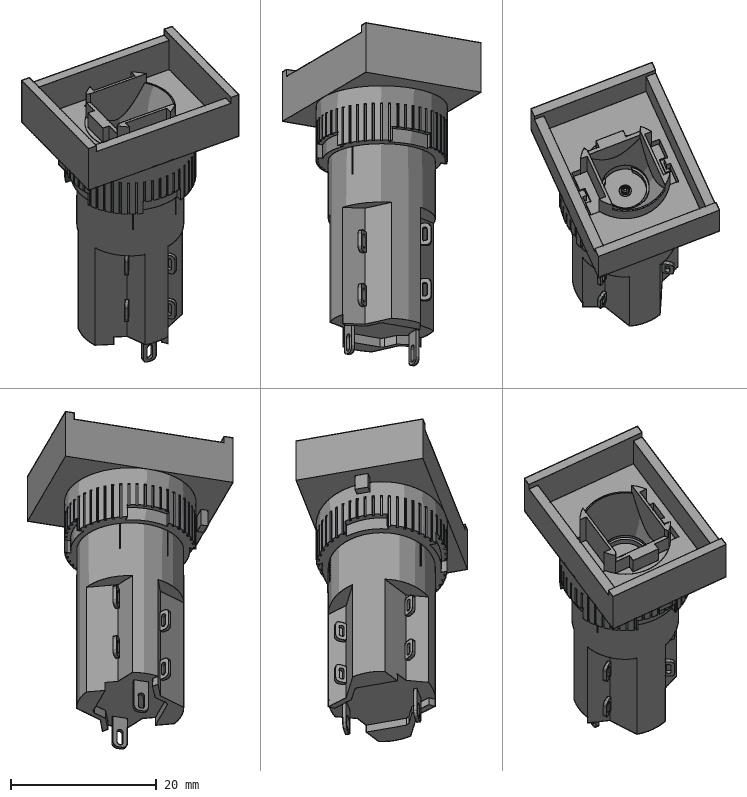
import cadquery as cq
import math

TOP_Z = 43.75
WALL_TOP_Z = 42.72
FLOOR_Z = 37.7
BEZEL_BOTTOM_Z = 36.55
GROOVE_TOP_Z = 34.05
NOTCH_TOP_Z = 30.7
RING_BOTTOM_Z = 28.75
SLIT_BOTTOM_Z = 24.8
BLOCK_TOP_Z = 20.3
POCKET_TOP_Z = 4.75
BLOCK_BOTTOM_Z = 3.5

BEZEL_X = 18.0
BEZEL_Y = 24.0
LONG_WALL = 1.4
END_WALL = 1.25
KEY_X = 1.85
KEY_Y = 1.0
KEY_CENTER_Y = -10.35

RING_DIA = 18.0
BARREL_DIA = 14.7
RECESS_DIA = 16.35
NOTCH_WIDTH = 5.95
GROOVE_COUNT = 50
GROOVE_WIDTH = 0.285
GROOVE_DEPTH = 0.3
SLIT_Y = 3.4
SLIT_WIDTH = 0.05
SLIT_DEPTH = 0.17

VALLEY = (4.25, 3.0)
FRONT_LOBE_HALF = 2.27
SIDE_LOBE_HALF = 1.85
CHANNEL_HALF = 1.25
POCKET_REACH_Y = 4.65
POCKET_CORNER = (3.65, 2.45)
POCKET_SHOULDER_X = 6.35
POCKET_MOUTH_X = 7.1
POCKET_WALL_END = (2.75, 4.3)
POCKET_END_X = 2.27

TERMINAL_THICKNESS = 0.5
BLADE_WIDTH = 2.1
BLADE_X = 5.05
BLADE_CORNER = 0.8
BLADE_SLOT_WIDTH = 0.87
BLADE_SLOT_BOTTOM_Z = 0.4
BLADE_SLOT_TOP_Z = 2.8
TAB_LENGTH = 1.7
TAB_HEIGHT = 3.1
TAB_CORNER = 0.6
TAB_ROOT = 0.1
TAB_ANGLE = 34.5
TAB_SLOT_WIDTH = 0.65
TAB_SLOT_HEIGHT = 1.95
RISING_TAB_Z = (17.85, 9.85)
FALLING_TAB_Z = (15.25, 7.48)

INSERT_DIA = 12.45
INSERT_BOTTOM_Z = RING_BOTTOM_Z
RIM_Z = 40.2
POST_TOP_Z = 41.67
POST_INNER_X = 3.9
POST_END_X = 4.15
POST_OUTER_X = 4.3
LATCH_REACH_X = 6.4
LATCH_HALF_Y = 3.3
LATCH_GAP = 0.15
LATCH_SLOT_X = 5.55
LATCH_SLOT_HALF_Y = 1.05
NUB_X = 5.95
NUB_HALF_Y = 0.5
LATCH_TOP_Z = BEZEL_BOTTOM_Z
LATCH_STEP_Z = 36.1
LATCH_BOTTOM_Z = 35.7
FRONT_WALL_INNER_Y = -4.02
FRONT_WALL_OUTER_Y = -4.55
FRONT_RIB_Y = -5.55
FRONT_RIB_HALF = 2.0
CONE_TOP_DIA = 12.05
CONE_BOTTOM_DIA = 6.55
CONE_BOTTOM_Z = 34.3
LIP_DIA = 5.85
LIP_TOP_Z = 33.85
SOCKET_FLOOR_Z = 32.97
CONTACT_RADII = (0.85, 0.6, 0.45, 0.2)
CONTACT_STEP = 0.15


def box(x0, x1, y0, y1, z0, z1):
    """Box between two opposite corners."""
    return (
        cq.Workplane("XY")
        .box(x1 - x0, y1 - y0, z1 - z0, centered=False)
        .translate((x0, y0, z0))
    )


def cylinder(diameter, z0, z1):
    """Cylinder on the Z axis."""
    return cq.Workplane("XY").workplane(offset=z0).circle(diameter / 2).extrude(z1 - z0)


def bezel():
    half_x = BEZEL_X / 2
    half_y = BEZEL_Y / 2
    inner_x = half_x - LONG_WALL
    inner_y = half_y - END_WALL
    tray = box(-half_x, half_x, -half_y, half_y, BEZEL_BOTTOM_Z, TOP_Z)
    tray = tray.cut(box(-inner_x, inner_x, -inner_y, inner_y, FLOOR_Z, TOP_Z))
    tray = tray.cut(box(-half_x, half_x, -inner_y, inner_y, WALL_TOP_Z, TOP_Z))
    key = box(
        -KEY_X / 2, KEY_X / 2,
        KEY_CENTER_Y - KEY_Y / 2, KEY_CENTER_Y + KEY_Y / 2,
        GROOVE_TOP_Z, BEZEL_BOTTOM_Z,
    )
    return tray.union(key)


def knurled_ring():
    radius = RING_DIA / 2
    ring = cylinder(RING_DIA, RING_BOTTOM_Z, BEZEL_BOTTOM_Z)
    groove = box(
        radius - GROOVE_DEPTH, radius + GROOVE_DEPTH,
        -GROOVE_WIDTH / 2, GROOVE_WIDTH / 2,
        RING_BOTTOM_Z, GROOVE_TOP_Z,
    )
    pitch = 360 / GROOVE_COUNT
    grooves = [
        groove.rotate((0, 0, 0), (0, 0, 1), index * pitch - 90).val()
        for index in range(GROOVE_COUNT)
    ]
    ring = ring.cut(cq.Workplane(cq.Compound.makeCompound(grooves)))
    half = NOTCH_WIDTH / 2
    notches = box(-radius, radius, -half, half, RING_BOTTOM_Z, NOTCH_TOP_Z)
    notches = notches.union(box(-half, half, -radius, radius, RING_BOTTOM_Z, NOTCH_TOP_Z))
    notches = notches.cut(cylinder(RECESS_DIA, RING_BOTTOM_Z, NOTCH_TOP_Z))
    return ring.cut(notches)


def barrel():
    body = cylinder(BARREL_DIA, BLOCK_BOTTOM_Z, RING_BOTTOM_Z)
    slit_x = math.sqrt((BARREL_DIA / 2) ** 2 - SLIT_Y**2)
    for x_sign in (-1, 1):
        for y_sign in (-1, 1):
            slit = cq.Workplane("XY").box(
                2 * SLIT_DEPTH, SLIT_WIDTH, RING_BOTTOM_Z - SLIT_BOTTOM_Z, centered=(True, True, False)
            )
            body = body.cut(slit.translate((x_sign * slit_x, y_sign * SLIT_Y, SLIT_BOTTOM_Z)))
    return body


def valley_cut(x_sign, y_sign):
    """V groove in one corner of the contact block, running over its full height."""
    radius = BARREL_DIA / 2
    front_point = (FRONT_LOBE_HALF, math.sqrt(radius**2 - FRONT_LOBE_HALF**2))
    side_point = (math.sqrt(radius**2 - SIDE_LOBE_HALF**2), SIDE_LOBE_HALF)
    outside = (radius, radius)
    corners = [
        VALLEY,
        front_point,
        (front_point[0], outside[1]),
        outside,
        (outside[0], side_point[1]),
        side_point,
    ]
    points = [(x_sign * x, y_sign * y) for x, y in corners]
    return (
        cq.Workplane("XY")
        .workplane(offset=BLOCK_BOTTOM_Z)
        .polyline(points)
        .close()
        .extrude(BLOCK_TOP_Z - BLOCK_BOTTOM_Z)
    )


def terminal_pocket():
    """Channel under the block, open at both sides and symmetric about the Z axis."""
    reach_x = BARREL_DIA / 2
    half_outline = [
        (reach_x, SIDE_LOBE_HALF),
        (POCKET_MOUTH_X, SIDE_LOBE_HALF),
        (POCKET_SHOULDER_X, CHANNEL_HALF),
        POCKET_CORNER,
        POCKET_WALL_END,
        (POCKET_END_X, POCKET_REACH_Y),
        (-reach_x, POCKET_REACH_Y),
    ]
    outline = half_outline + [(-x, -y) for x, y in half_outline]
    return (
        cq.Workplane("XY")
        .workplane(offset=BLOCK_BOTTOM_Z)
        .polyline(outline)
        .close()
        .extrude(POCKET_TOP_Z - BLOCK_BOTTOM_Z)
    )


def blade(x):
    """Solder blade under the block, rounded at its tip, with a long eye."""
    plate = box(
        x - TERMINAL_THICKNESS / 2, x + TERMINAL_THICKNESS / 2,
        -BLADE_WIDTH / 2, BLADE_WIDTH / 2,
        0, POCKET_TOP_Z,
    )
    plate = plate.edges("|X and <Z").fillet(BLADE_CORNER)
    eye = (
        cq.Workplane("YZ")
        .center(0, (BLADE_SLOT_BOTTOM_Z + BLADE_SLOT_TOP_Z) / 2)
        .slot2D(BLADE_SLOT_TOP_Z - BLADE_SLOT_BOTTOM_Z, BLADE_SLOT_WIDTH, 90)
        .extrude(TERMINAL_THICKNESS, both=True)
    )
    return plate.cut(eye.translate((x, 0, 0)))


def side_terminal(x_sign, y_sign, z):
    """Upright plate with a long eye, standing out of a V groove."""
    plate = (
        cq.Workplane("XZ")
        .rect(TAB_LENGTH, TAB_HEIGHT)
        .extrude(TERMINAL_THICKNESS / 2, both=True)
        .edges("|Y")
        .fillet(TAB_CORNER)
    )
    eye = (
        cq.Workplane("XZ")
        .slot2D(TAB_SLOT_HEIGHT, TAB_SLOT_WIDTH, 90)
        .extrude(TERMINAL_THICKNESS, both=True)
    )
    plate = plate.cut(eye).translate((TAB_LENGTH / 2 - TAB_ROOT, 0, 0))
    angle = TAB_ANGLE if x_sign > 0 else 180 - TAB_ANGLE
    plate = plate.rotate((0, 0, 0), (0, 0, 1), y_sign * angle)
    return plate.translate((x_sign * VALLEY[0], y_sign * VALLEY[1], z))


def half_turn(body, x_sign):
    """Move a feature modelled at +X to the side given by x_sign."""
    return body if x_sign > 0 else body.rotate((0, 0, 0), (0, 0, 1), 180)


def latch_opening():
    """Opening in the bezel floor around the latch at +X."""
    half_y = LATCH_HALF_Y + LATCH_GAP
    return box(0, LATCH_REACH_X + LATCH_GAP, -half_y, half_y, LATCH_BOTTOM_Z, FLOOR_Z)


def latch_nub():
    """Nub on the edge of the +X latch opening, which enters the latch slot."""
    outer_x = LATCH_REACH_X + LATCH_GAP
    return box(NUB_X, outer_x, -NUB_HALF_Y, NUB_HALF_Y, LATCH_BOTTOM_Z, FLOOR_Z)


def make_housing():
    body = barrel()
    for x_sign in (-1, 1):
        for y_sign in (-1, 1):
            body = body.cut(valley_cut(x_sign, y_sign))
    body = body.cut(terminal_pocket())
    for x_sign in (-1, 1):
        body = body.union(blade(x_sign * BLADE_X))
        for y_sign in (-1, 1):
            heights = FALLING_TAB_Z if x_sign == y_sign else RISING_TAB_Z
            for z in heights:
                body = body.union(side_terminal(x_sign, y_sign, z))
    body = body.union(knurled_ring()).union(bezel())
    body = body.cut(cylinder(INSERT_DIA, INSERT_BOTTOM_Z, FLOOR_Z))
    for x_sign in (-1, 1):
        body = body.cut(half_turn(latch_opening(), x_sign))
        body = body.union(half_turn(latch_nub(), x_sign))
    return body


def bowl():
    """Cone, socket and lip removed from the insert, bounded by the flat post faces."""
    cone = (
        cq.Workplane("XZ")
        .moveTo(0, CONE_BOTTOM_Z)
        .lineTo(CONE_BOTTOM_DIA / 2, CONE_BOTTOM_Z)
        .lineTo(CONE_TOP_DIA / 2, RIM_Z)
        .lineTo(CONE_TOP_DIA / 2, POST_TOP_Z)
        .lineTo(0, POST_TOP_Z)
        .close()
        .revolve(360, (0, 0, 0), (0, 1, 0))
    )
    cone = cone.intersect(
        box(
            -POST_INNER_X, POST_INNER_X,
            FRONT_WALL_INNER_Y, INSERT_DIA / 2,
            CONE_BOTTOM_Z, POST_TOP_Z,
        )
    )
    socket = cylinder(CONE_BOTTOM_DIA, LIP_TOP_Z, CONE_BOTTOM_Z)
    socket = socket.union(cylinder(LIP_DIA, SOCKET_FLOOR_Z, LIP_TOP_Z))
    lip_gap = box(
        -FRONT_RIB_HALF, FRONT_RIB_HALF, -CONE_BOTTOM_DIA / 2, 0, SOCKET_FLOOR_Z, LIP_TOP_Z
    ).intersect(cylinder(CONE_BOTTOM_DIA, SOCKET_FLOOR_Z, LIP_TOP_Z))
    return cone.union(socket).union(lip_gap)


def latch_arm():
    """Arm of the latch at +X."""
    return box(POST_OUTER_X, LATCH_REACH_X, -LATCH_HALF_Y, LATCH_HALF_Y, LATCH_BOTTOM_Z, LATCH_TOP_Z)


def latch_cut():
    """Recess above the latch at +X, the wide slot in the latch and the seat for the nub."""
    recess = box(POST_OUTER_X, INSERT_DIA / 2, -LATCH_HALF_Y, LATCH_HALF_Y, LATCH_TOP_Z, POST_TOP_Z)
    wide_slot = box(
        LATCH_SLOT_X, LATCH_REACH_X,
        -LATCH_SLOT_HALF_Y, LATCH_SLOT_HALF_Y,
        LATCH_STEP_Z, LATCH_TOP_Z,
    )
    return recess.union(wide_slot).union(latch_nub())


def make_insert():
    radius = INSERT_DIA / 2
    body = cylinder(INSERT_DIA, INSERT_BOTTOM_Z, POST_TOP_Z)
    body = body.cut(box(-POST_INNER_X, POST_INNER_X, -radius, radius, RIM_Z, POST_TOP_Z))
    front_area = box(-radius, radius, -radius, FRONT_WALL_OUTER_Y, FLOOR_Z, POST_TOP_Z)
    rib = box(-FRONT_RIB_HALF, FRONT_RIB_HALF, FRONT_RIB_Y, FRONT_WALL_OUTER_Y, FLOOR_Z, RIM_Z)
    body = body.cut(front_area.cut(rib))
    post_ends = (
        cq.Workplane("XY")
        .workplane(offset=RIM_Z)
        .polyline([
            (-POST_INNER_X, FRONT_WALL_INNER_Y),
            (POST_INNER_X, FRONT_WALL_INNER_Y),
            (POST_END_X, FRONT_WALL_OUTER_Y),
            (-POST_END_X, FRONT_WALL_OUTER_Y),
        ])
        .close()
        .extrude(POST_TOP_Z - RIM_Z)
    )
    body = body.cut(post_ends)
    for x_sign in (-1, 1):
        body = body.union(half_turn(latch_arm(), x_sign))
        body = body.cut(half_turn(latch_cut(), x_sign))
    body = body.cut(bowl())
    for index, contact_radius in enumerate(CONTACT_RADII, start=1):
        step_top_z = SOCKET_FLOOR_Z + index * CONTACT_STEP
        body = body.union(cylinder(2 * contact_radius, SOCKET_FLOOR_Z, step_top_z))
    return body


housing = make_housing()
insert = make_insert()

result = cq.Compound.makeCompound([housing.val(), insert.val()])